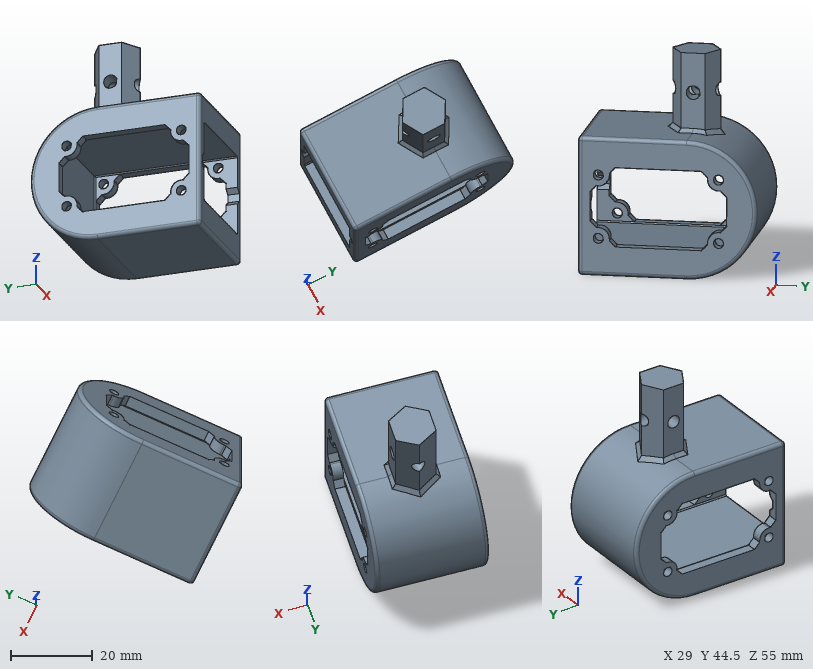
import cadquery as cq
import math

body_width = 29.0
body_radius = 17.5
body_front = 27.0
edge_round = 1.0

total_height = 55.0
post_across_corners = 12.0
post_height = total_height - 2 * body_radius
post_flare = 1.0
pin_hole_diameter = 3.4
pin_hole_drop = 10.0

window_length = 34.0
window_height = 20.0
window_center_y = -7.0
screw_spacing_y = 30.0
screw_spacing_z = 16.0
screw_hole_diameter = 2.5
boss_radius = 2.75
boss_chamfer = 1.55

cavity_width = 23.6
cavity_chamfer = 0.35

notch_depth = 1.3
notch_base = 4.4
notch_tip = 2.05


def make_body():
    profile = (
        cq.Workplane("YZ", origin=(-body_width / 2, 0, 0))
        .moveTo(-body_front, -body_radius)
        .lineTo(0, -body_radius)
        .threePointArc((body_radius, 0), (0, body_radius))
        .lineTo(-body_front, body_radius)
        .close()
    )
    block = profile.extrude(body_width)
    return block.faces("<X or >X or <Y").edges().fillet(edge_round)


def make_post():
    """Post starting at the cylinder axis, so that its foot is buried in the body."""
    return (
        cq.Workplane("XY")
        .transformed(rotate=(0, 0, 90))
        .polygon(6, post_across_corners)
        .extrude(body_radius + post_height)
    )


def add_post(body):
    """Join the post and chamfer the line where it meets the body."""
    joined = body.union(make_post())
    margin = 0.05
    reach = post_across_corners / 2 + margin
    foot_drop = body_radius - math.sqrt(body_radius**2 - reach**2)
    foot_zone = cq.selectors.BoxSelector(
        (-reach, -reach, body_radius - foot_drop),
        (reach, reach, body_radius + margin),
        boundingbox=True,
    )
    return joined.edges(foot_zone).chamfer(post_flare)


def make_pin_holes():
    """Crossed holes through the post along X and Y."""
    level = body_radius + post_height - pin_hole_drop
    holes = cq.Workplane("XY")
    for plane in ("YZ", "XZ"):
        hole = (
            cq.Workplane(plane, origin=(0, 0, level))
            .circle(pin_hole_diameter / 2)
            .extrude(post_across_corners, both=True)
        )
        holes = holes.union(hole)
    return holes


def make_corner_block(side_y, side_z):
    """Material left around one screw, from the window corner to the boss."""
    edge_y = window_length / 2
    edge_z = window_height / 2
    screw_y = screw_spacing_y / 2
    screw_z = screw_spacing_z / 2
    inner_y = screw_y - boss_radius
    inner_z = screw_z - boss_radius
    diagonal = boss_radius * math.sqrt(0.5)

    def at(y, z):
        return (side_y * y, side_z * z)

    return (
        cq.Workplane("YZ", origin=(-body_width / 2, window_center_y, 0))
        .moveTo(*at(edge_y, edge_z))
        .lineTo(*at(inner_y - boss_chamfer, edge_z))
        .lineTo(*at(inner_y, edge_z - boss_chamfer))
        .lineTo(*at(inner_y, screw_z))
        .threePointArc(at(screw_y - diagonal, screw_z - diagonal), at(screw_y, inner_z))
        .lineTo(*at(edge_y - boss_chamfer, inner_z))
        .lineTo(*at(edge_y, inner_z - boss_chamfer))
        .close()
        .extrude(body_width)
    )


def make_windows():
    """Cutter for the windows and the screw holes of both side walls."""
    cutter = cq.Workplane("XY").box(body_width, window_length, window_height)
    cutter = cutter.translate((0, window_center_y, 0))
    for side_y in (-1, 1):
        for side_z in (-1, 1):
            cutter = cutter.cut(make_corner_block(side_y, side_z))
    screw_holes = (
        cq.Workplane("YZ", origin=(0, window_center_y, 0))
        .rect(screw_spacing_y, screw_spacing_z, forConstruction=True)
        .vertices()
        .circle(screw_hole_diameter / 2)
        .extrude(body_width, both=True)
    )
    return cutter.union(screw_holes)


def make_cavity():
    """Box just clear of the windows, running out past the front face."""
    height = window_height + 2 * cavity_chamfer
    back = window_center_y + window_length / 2 + cavity_chamfer
    front = -2 * body_front
    box = cq.Workplane("XY").box(cavity_width, back - front, height)
    box = box.faces("<X or >X").edges().chamfer(cavity_chamfer)
    return box.translate((0, (front + back) / 2, 0))


def make_cable_notches():
    """Slot with tapered ends, from the front face into both windows."""
    wall = cavity_width / 2
    tip = wall + notch_depth
    front_wall = body_front + window_center_y - window_length / 2
    return (
        cq.Workplane("XZ", origin=(0, -body_front + front_wall, 0))
        .polyline([
            (-tip, -notch_tip / 2),
            (-wall, -notch_base / 2),
            (wall, -notch_base / 2),
            (tip, -notch_tip / 2),
            (tip, notch_tip / 2),
            (wall, notch_base / 2),
            (-wall, notch_base / 2),
            (-tip, notch_tip / 2),
        ])
        .close()
        .extrude(front_wall)
    )


result = add_post(make_body())
result = result.cut(make_pin_holes())
result = result.cut(make_cavity())
result = result.cut(make_windows())
result = result.cut(make_cable_notches())